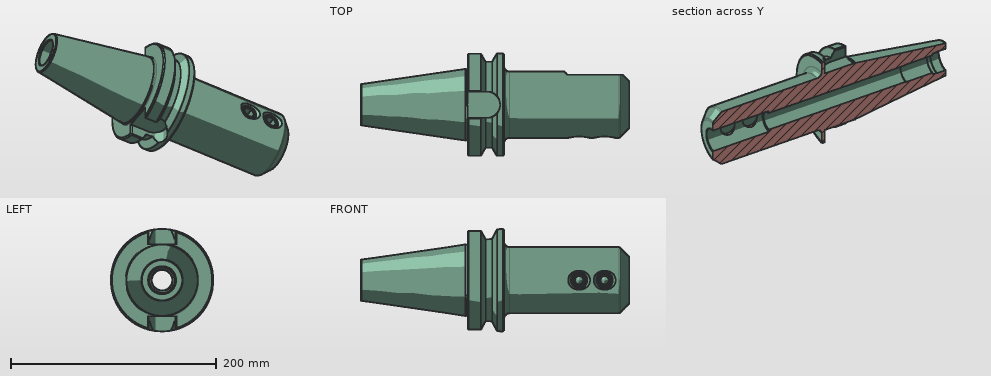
import cadquery as cq
import math

total_length = 261.8

gauge_x = 101.8
taper_large_dia = 70.0
taper_ratio = 7 / 24
taper_end_chamfer = 1.0
neck_dia = 69.5
neck_fillet = 0.8

flange_dia = 100.0
flange_start_x = 104.2
flange_end_x = 139.8
flange_edge_chamfer = 1.3
groove_edge_chamfer = 0.8
groove_center_x = 125.0
groove_floor_dia = 84.0
groove_floor_width = 6.3
groove_flank_angle = 30.0

slot_width = 25.7
slot_end_x = 136.0
slot_floor_height = 35.0
slot_edge_chamfer = 1.3

nose_dia = 65.0
nose_shoulder_radius = 5.0
nose_tip_chamfer = 9.7
nose_tip_rounding = 2.0

flat_height = 29.3
flat_start_x = 201.3

stud_mouth_dia = 27.5
stud_pilot_dia = 26.0
stud_pilot_depth = 10.2
stud_bore_dia = 25.0
stud_bore_depth = 14.1
thread_lead_angle = 30.0
thread_dia = 21.0
thread_end_x = 45.0
through_dia = 20.0
tool_bore_dia = 25.0
tool_bore_depth = 62.8
tool_mouth_dia = 26.0

screw_dia = 16.0
screw_pitch_x = 25.0
last_screw_x = 237.7
screw_xs = [last_screw_x - screw_pitch_x, last_screw_x]
screw_mouth_dia = 21.5
screw_top = 30.4
screw_tip = 12.5
screw_chamfer = 0.8
socket_across_flats = 10.0
socket_mouth_dia = 12.0
socket_point_dia = 8.0
socket_depth = 9.0
socket_point_angle = 120.0

clearance = 2.5


def holder_blank():
    """Turned outside of the holder, revolved about X."""
    taper_small_r = (taper_large_dia - gauge_x * taper_ratio) / 2
    neck_r = neck_dia / 2
    flange_r = flange_dia / 2
    chamfered_r = flange_r - flange_edge_chamfer
    floor_r = groove_floor_dia / 2
    nose_r = nose_dia / 2
    half_floor = groove_floor_width / 2
    flank_top_r = flange_r - groove_edge_chamfer
    half_mouth = half_floor + (flank_top_r - floor_r) * math.tan(math.radians(groove_flank_angle))
    half_rim = half_mouth + groove_edge_chamfer
    neck_step = neck_fillet * (1 - math.sqrt(0.5))
    arc_step = nose_shoulder_radius * (1 - math.sqrt(0.5))
    outline = (
        cq.Workplane("XY")
        .moveTo(0, 0)
        .lineTo(0, taper_small_r - taper_end_chamfer / 2)
        .lineTo(taper_end_chamfer, taper_small_r + taper_end_chamfer * taper_ratio / 2)
        .lineTo(gauge_x, taper_large_dia / 2)
        .lineTo(gauge_x, neck_r)
        .lineTo(flange_start_x - neck_fillet, neck_r)
        .threePointArc(
            (flange_start_x - neck_step, neck_r + neck_step),
            (flange_start_x, neck_r + neck_fillet),
        )
        .lineTo(flange_start_x, chamfered_r)
        .lineTo(flange_start_x + flange_edge_chamfer, flange_r)
        .lineTo(groove_center_x - half_rim, flange_r)
        .lineTo(groove_center_x - half_mouth, flank_top_r)
        .lineTo(groove_center_x - half_floor, floor_r)
        .lineTo(groove_center_x + half_floor, floor_r)
        .lineTo(groove_center_x + half_mouth, flank_top_r)
        .lineTo(groove_center_x + half_rim, flange_r)
        .lineTo(flange_end_x - flange_edge_chamfer, flange_r)
        .lineTo(flange_end_x, chamfered_r)
        .lineTo(flange_end_x, nose_r + nose_shoulder_radius)
        .threePointArc(
            (flange_end_x + arc_step, nose_r + arc_step),
            (flange_end_x + nose_shoulder_radius, nose_r),
        )
        .lineTo(total_length - nose_tip_chamfer, nose_r)
        .lineTo(total_length, nose_r - nose_tip_chamfer)
        .lineTo(total_length, 0)
        .close()
    )
    blank = outline.revolve(360, (0, 0, 0), (1, 0, 0))
    margin = 0.3
    tip_edges = cq.selectors.BoxSelector(
        (total_length - nose_tip_chamfer - margin, -nose_r, -nose_r),
        (total_length + margin, nose_r, nose_r),
    )
    return blank.edges(tip_edges).edges("%CIRCLE").fillet(nose_tip_rounding)


def drive_slot(side):
    """Cutter for one drive slot; side is +1 for the top and -1 for the bottom."""
    half_width = slot_width / 2
    arc_x = slot_end_x - half_width
    height = flange_dia / 2 - slot_floor_height + clearance
    return (
        cq.Workplane("XY", origin=(0, 0, side * slot_floor_height))
        .moveTo(gauge_x, -half_width)
        .lineTo(arc_x, -half_width)
        .threePointArc((slot_end_x, 0), (arc_x, half_width))
        .lineTo(gauge_x, half_width)
        .close()
        .extrude(side * height)
    )


def slot_edge_bevel(side):
    """Cutter that bevels the slot edges on the front rim of the flange."""
    half_width = slot_width / 2
    bevel = slot_edge_chamfer
    rim_height = math.sqrt((flange_dia / 2) ** 2 - half_width**2)
    rim_end_x = groove_center_x - groove_floor_width / 2
    face_outline = [
        (0, -half_width - bevel),
        (bevel, -half_width),
        (bevel, half_width),
        (0, half_width + bevel),
    ]
    rim_outline = [
        (-half_width, 0),
        (half_width, 0),
        (half_width + clearance, side * clearance),
        (-half_width - clearance, side * clearance),
    ]
    face_bevel = (
        cq.Workplane("XY", origin=(flange_start_x, 0, side * slot_floor_height))
        .polyline(face_outline)
        .close()
        .extrude(side * flange_dia / 2)
    )
    rim_bevel = (
        cq.Workplane("YZ", origin=(flange_start_x, 0, side * (rim_height - bevel)))
        .polyline(rim_outline)
        .close()
        .extrude(rim_end_x - flange_start_x)
    )
    return face_bevel.union(rim_bevel)


def nose_flat():
    """Cutter for the flat with its 45 degree run-out."""
    depth = nose_dia / 2 - flat_height + clearance
    return (
        cq.Workplane("XY")
        .moveTo(flat_start_x, flat_height)
        .lineTo(total_length + clearance, flat_height)
        .lineTo(total_length + clearance, flat_height + depth)
        .lineTo(flat_start_x - depth, flat_height + depth)
        .close()
        .extrude(nose_dia / 2, both=True)
    )


def axial_bores():
    """Cutter for the stepped bore right through the holder."""
    pilot_r = stud_pilot_dia / 2
    stud_r = stud_bore_dia / 2
    thread_r = thread_dia / 2
    through_r = through_dia / 2
    tool_r = tool_bore_dia / 2
    stud_mouth = (stud_mouth_dia - stud_pilot_dia) / 2
    tool_mouth = (tool_mouth_dia - tool_bore_dia) / 2
    thread_lead = (stud_r - thread_r) * math.tan(math.radians(thread_lead_angle))
    tool_bore_x = total_length - tool_bore_depth
    outline = [
        (0, 0),
        (0, stud_mouth_dia / 2),
        (stud_mouth, pilot_r),
        (stud_pilot_depth, pilot_r),
        (stud_pilot_depth, stud_r),
        (stud_bore_depth, stud_r),
        (stud_bore_depth + thread_lead, thread_r),
        (thread_end_x, thread_r),
        (thread_end_x, through_r),
        (tool_bore_x, through_r),
        (tool_bore_x, tool_r),
        (total_length - tool_mouth, tool_r),
        (total_length, tool_mouth_dia / 2),
        (total_length, 0),
    ]
    return cq.Workplane("XY").polyline(outline).close().revolve(360, (0, 0, 0), (1, 0, 0))


def screw_hole(x):
    """Cutter for one countersunk screw hole from the -Y side into the tool bore."""
    surface = nose_dia / 2
    hole_r = screw_dia / 2
    sink = screw_mouth_dia / 2 - hole_r
    outline = [
        (0, 0),
        (hole_r, 0),
        (hole_r, -surface + sink),
        (hole_r + 2 * sink, -surface - sink),
        (0, -surface - sink),
    ]
    return (
        cq.Workplane("XY", origin=(x, 0, 0))
        .polyline(outline)
        .close()
        .revolve(360, (0, 0, 0), (0, 1, 0))
    )


def make_holder():
    """Tool holder with its slots, flat, bores and screw holes."""
    body = holder_blank()
    for side in (1, -1):
        body = body.cut(drive_slot(side)).cut(slot_edge_bevel(side))
    body = body.cut(nose_flat()).cut(axial_bores())
    for x in screw_xs:
        body = body.cut(screw_hole(x))
    return body


def make_screw(x):
    """Set screw with a hexagon socket in its outer (-Y) face."""
    length = screw_top - screw_tip
    point_r = socket_point_dia / 2
    point_height = point_r / math.tan(math.radians(socket_point_angle / 2))
    mouth_r = socket_mouth_dia / 2
    inward = cq.Vector(0, 1, 0)
    outward = cq.Vector(0, -1, 0)
    face_center = cq.Vector(x, -screw_top, 0)
    socket_floor = cq.Vector(x, socket_depth - screw_top, 0)
    outer_face = cq.Workplane("XZ", origin=(x, -screw_top, 0))
    body = outer_face.circle(screw_dia / 2).extrude(-length).faces("<Y").chamfer(screw_chamfer)
    hexagon = (
        outer_face.transformed(rotate=(0, 0, 30))
        .polygon(6, socket_across_flats, circumscribed=True)
        .extrude(-socket_depth)
    )
    mouth = cq.Workplane(cq.Solid.makeCone(mouth_r, 0, mouth_r, face_center, inward))
    point = cq.Workplane(cq.Solid.makeCone(point_r, 0, point_height, socket_floor, outward))
    return body.cut(hexagon).cut(mouth).union(point)


holder = make_holder()
screws = [make_screw(x) for x in screw_xs]

result = cq.Compound.makeCompound([holder.val(), *[screw.val() for screw in screws]])